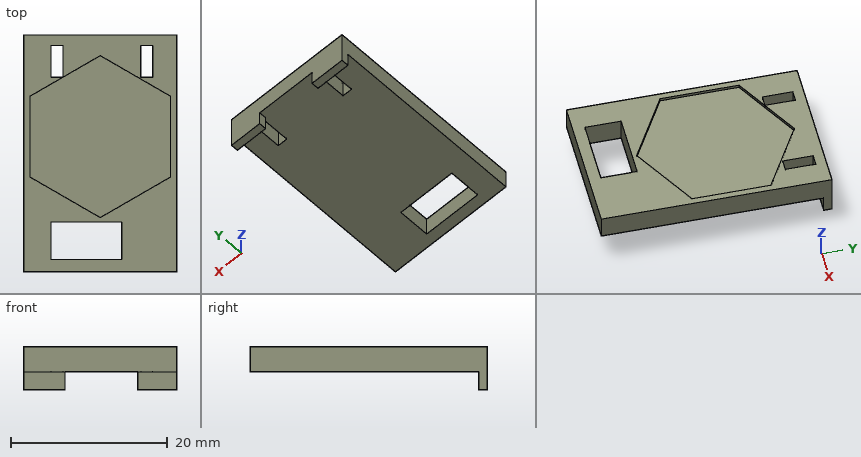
import cadquery as cq
import math

plate_width = 19.55
plate_length = 30.25
plate_thickness = 3.2

total_height = 5.5
foot_height = total_height - plate_thickness
foot_thickness = 1.1
left_foot_width = 5.3
right_foot_width = 5.0

hexagon_sides = 6
hexagon_across_flats = 17.9
hexagon_across_corners = hexagon_across_flats / math.cos(math.pi / hexagon_sides)
hexagon_center_x = plate_width / 2
hexagon_center_y = 17.25
hexagon_depth = 0.4

slot_width = 1.5
slot_length = 4.0
slot_rear_margin = 1.4
opening_left_margin = 3.5
slot_pitch = 11.45

window_width = 9.0
window_length = 4.75
window_front_margin = 1.6


def block(x, y, z, width, length, height):
    """Box with its lowest corner at (x, y, z)."""
    return cq.Workplane("XY").box(width, length, height, centered=False).translate((x, y, z))


def through_opening(x, y, width, length):
    """Rectangular cutter through the full plate thickness."""
    return block(x, y, 0, width, length, plate_thickness)


def foot(x, width):
    """Foot flush with the rear face of the plate."""
    return block(x, plate_length - foot_thickness, -foot_height, width, foot_thickness, total_height)


def hexagonal_recess():
    """Shallow hexagonal cutter open at the top face."""
    return (
        cq.Workplane("XY")
        .polygon(hexagon_sides, hexagon_across_corners)
        .extrude(hexagon_depth)
        .rotate((0, 0, 0), (0, 0, 1), 90)
        .translate((hexagon_center_x, hexagon_center_y, plate_thickness - hexagon_depth))
    )


result = block(0, 0, 0, plate_width, plate_length, plate_thickness)
result = result.union(foot(0, left_foot_width))
result = result.union(foot(plate_width - right_foot_width, right_foot_width))
result = result.cut(hexagonal_recess())

slot_y = plate_length - slot_rear_margin - slot_length
for slot_x in (opening_left_margin, opening_left_margin + slot_pitch):
    result = result.cut(through_opening(slot_x, slot_y, slot_width, slot_length))

result = result.cut(through_opening(opening_left_margin, window_front_margin, window_width, window_length))